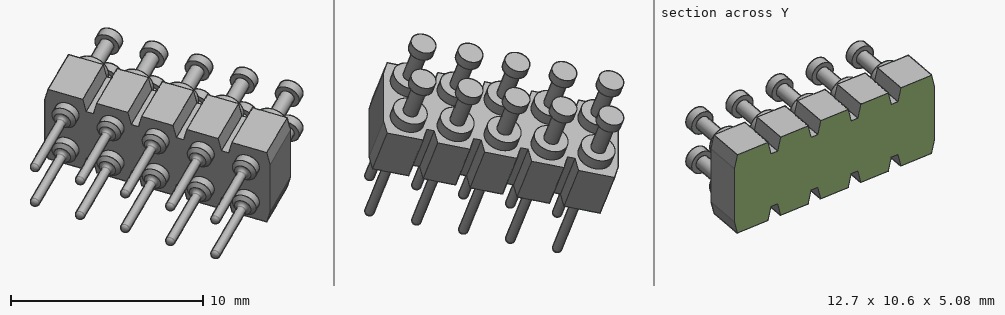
import cadquery as cq

PITCH = 2.54
COLUMNS = 5
ROWS = 2

BODY_LENGTH = COLUMNS * PITCH
BODY_HEIGHT = ROWS * PITCH
BODY_DEPTH = 2.8
NOTCH_DEPTH = 0.82
NOTCH_FLOOR_WIDTH = 0.4
FLANK_RUN = 0.19

COLLAR_RADIUS = 0.915
COLLAR_LENGTH = 0.64
STEM_RADIUS = 0.4
STEM_LENGTH = 1.98
HEAD_RADIUS = 0.675
HEAD_LENGTH = 0.55

BARREL_RADIUS = 0.67
BARREL_LENGTH = 0.46
PIN_RADIUS = 0.255
TIP_LENGTH = 0.22
OVERALL_DEPTH = 10.6

BEVEL_SIZE = (BARREL_RADIUS - PIN_RADIUS) / 2
NECK_FILLET = BEVEL_SIZE

COLLAR_END = BODY_DEPTH + COLLAR_LENGTH
STEM_END = COLLAR_END + STEM_LENGTH
HEAD_END = STEM_END + HEAD_LENGTH
BEVEL_END = -BARREL_LENGTH - BEVEL_SIZE
NECK_END = BEVEL_END - NECK_FILLET
TIP_END = HEAD_END - OVERALL_DEPTH
PIN_END = TIP_END + TIP_LENGTH


def pitch_positions(count):
    """Centred positions of `count` items spaced one pitch apart."""
    return [(i - (count - 1) / 2) * PITCH for i in range(count)]


def make_body():
    """Insulator block: bevelled ends and tapered notches between columns."""
    half_length = BODY_LENGTH / 2
    top = BODY_HEIGHT / 2
    floor = top - NOTCH_DEPTH
    half_floor = NOTCH_FLOOR_WIDTH / 2
    half_mouth = half_floor + FLANK_RUN

    upper_edge = [(-half_length, floor), (-half_length + FLANK_RUN, top)]
    for x in pitch_positions(COLUMNS - 1):
        upper_edge += [
            (x - half_mouth, top),
            (x - half_floor, floor),
            (x + half_floor, floor),
            (x + half_mouth, top),
        ]
    upper_edge += [(half_length - FLANK_RUN, top), (half_length, floor)]
    lower_edge = [(x, -z) for x, z in reversed(upper_edge)]

    return cq.Workplane("XZ").polyline(upper_edge + lower_edge).close().extrude(-BODY_DEPTH)


def make_contact():
    """One turned contact, revolved about the Y axis."""
    tip_sphere_radius = (PIN_RADIUS**2 + TIP_LENGTH**2) / (2 * TIP_LENGTH)
    tip_centre = TIP_END + tip_sphere_radius
    tip_mid_y = (TIP_END + PIN_END) / 2
    tip_mid_radius = (tip_sphere_radius**2 - (tip_centre - tip_mid_y) ** 2) ** 0.5

    profile = (
        cq.Workplane("XY")
        .moveTo(0, TIP_END)
        .threePointArc((tip_mid_radius, tip_mid_y), (PIN_RADIUS, PIN_END))
        .lineTo(PIN_RADIUS, NECK_END)
        .radiusArc((PIN_RADIUS + NECK_FILLET, BEVEL_END), NECK_FILLET)
        .lineTo(BARREL_RADIUS, -BARREL_LENGTH)
        .lineTo(BARREL_RADIUS, BODY_DEPTH)
        .lineTo(COLLAR_RADIUS, BODY_DEPTH)
        .lineTo(COLLAR_RADIUS, COLLAR_END)
        .lineTo(STEM_RADIUS, COLLAR_END)
        .lineTo(STEM_RADIUS, STEM_END)
        .lineTo(HEAD_RADIUS, STEM_END)
        .lineTo(HEAD_RADIUS, HEAD_END)
        .lineTo(0, HEAD_END)
        .close()
    )
    return profile.revolve(360, (0, 0, 0), (0, 1, 0))


result = make_body()
contact = make_contact()
for column_x in pitch_positions(COLUMNS):
    for row_z in pitch_positions(ROWS):
        result = result.union(contact.translate((column_x, 0, row_z)))